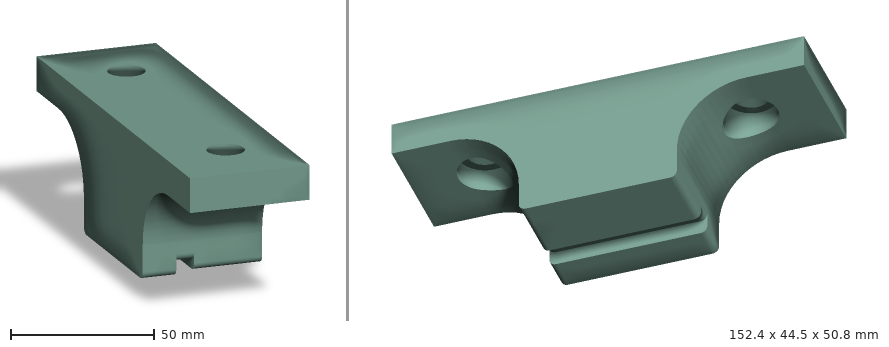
import cadquery as cq

length = 152.4
width = 44.45
height = 50.8
plate_thickness = 12.7

stem_width = 58.4
stem_blend_radius = 25.4
foot_radius = 2.54

strip_width = 12.5
groove_width = 6.6
groove_height = 5.25
step_height = 1.27

hole_diameter = 13.5
bore_diameter = 19.8
hole_length = 4.1
hole_spacing = 98.4
hole_offset_y = 1.1

right_end = length / 2
left_end = -length / 2
front_face = -width / 2
plate_bottom = height - plate_thickness


def body_slice(foot_level, y_start, y_end):
    """T-shaped slice of the body whose rounded foot ends at foot_level."""
    stem_side = stem_width / 2
    blend_start = stem_side + stem_blend_radius
    blend_end = plate_bottom - stem_blend_radius
    foot_side = stem_side - foot_radius
    foot_top = foot_level + foot_radius
    return (
        cq.Workplane("XZ", origin=(0, y_end, 0))
        .moveTo(left_end, height)
        .lineTo(right_end, height)
        .lineTo(right_end, plate_bottom)
        .lineTo(blend_start, plate_bottom)
        .radiusArc((stem_side, blend_end), -stem_blend_radius)
        .lineTo(stem_side, foot_top)
        .radiusArc((foot_side, foot_level), foot_radius)
        .lineTo(-foot_side, foot_level)
        .radiusArc((-stem_side, foot_top), foot_radius)
        .lineTo(-stem_side, blend_end)
        .radiusArc((-blend_start, plate_bottom), -stem_blend_radius)
        .lineTo(left_end, plate_bottom)
        .close()
        .extrude(y_end - y_start)
    )


def stepped_body():
    """Slices side by side along Y: deep strip, groove and raised strip."""
    groove_start = front_face + strip_width
    groove_end = groove_start + groove_width
    deep_strip = body_slice(0, front_face, groove_start)
    groove = body_slice(groove_height, groove_start, groove_end)
    raised_strip = body_slice(step_height, groove_end, front_face + width)
    return deep_strip.union(groove).union(raised_strip).clean()


def screw_hole(x):
    """Cutter for one vertical hole with its counterbore opening downward."""
    bore_top = height - hole_length
    through = (
        cq.Workplane("XY", origin=(x, hole_offset_y, 0))
        .circle(hole_diameter / 2)
        .extrude(height)
    )
    bore = (
        cq.Workplane("XY", origin=(x, hole_offset_y, 0))
        .circle(bore_diameter / 2)
        .extrude(bore_top)
    )
    return through.union(bore)


result = stepped_body()
for hole_x in (-hole_spacing / 2, hole_spacing / 2):
    result = result.cut(screw_hole(hole_x))